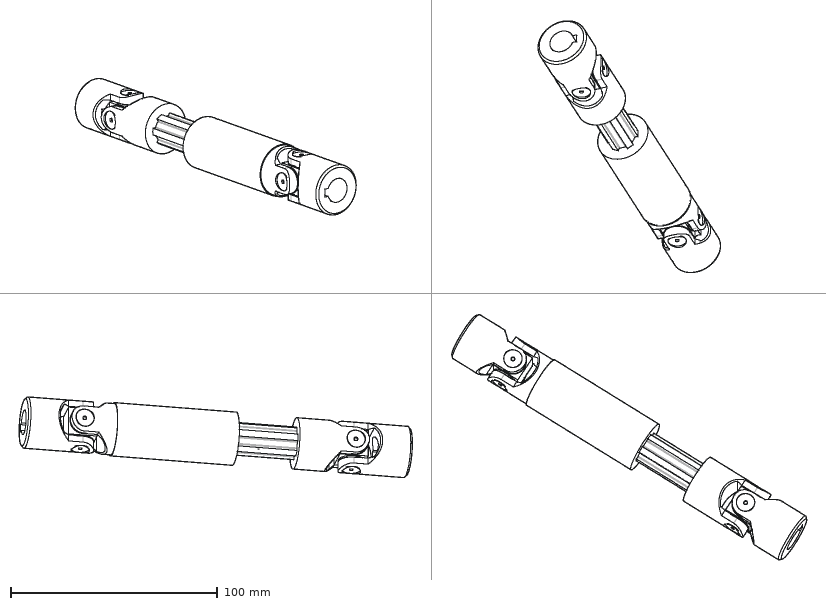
import cadquery as cq
import math

total_length = 190.0
left_end = -total_length / 2
right_end = total_length / 2
joint_to_end = 28.0
left_joint = left_end + joint_to_end
right_joint = right_end - joint_to_end
sleeve_start = -9.1
sleeve_end = 51.1

hub_diameter = 25.0
hub_radius = hub_diameter / 2
ear_width = 13.1
ear_half_width = ear_width / 2
ear_gap = 15.0
gap_end_radius = 12.2
shoulder_start = 7.0
pin_diameter = 9.0
end_chamfer = 1.05

bore_diameter = 12.0
keyway_width = 4.0
keyway_reach = 7.8

block_size = 14.0
block_thickness = 13.3
boss_diameter = 12.5
pin_end = 11.5
center_hole_diameter = 1.8
center_hole_depth = 1.0

sleeve_diameter = 26.0
spline_diameter = 16.0
spline_root_diameter = 13.0
spline_tooth_width = 3.5
spline_tooth_count = 6
spline_root_fillet = 0.4
spline_engagement = 38.0


def rod(diameter, start, end):
    """Round bar on the X axis between two X positions."""
    return cq.Workplane("YZ", origin=(start, 0, 0)).circle(diameter / 2).extrude(end - start)


def fork_envelope():
    """Outer limits of a fork seen along its pin: wide hub at -X, sloped shoulders, rounded ears at X = 0."""
    hub_back = -total_length
    shoulder_back = shoulder_start + hub_diameter - ear_half_width
    return (
        cq.Workplane("XY", origin=(0, 0, -hub_diameter))
        .moveTo(hub_back, hub_diameter)
        .lineTo(-shoulder_back, hub_diameter)
        .lineTo(-shoulder_start, ear_half_width)
        .lineTo(0, ear_half_width)
        .threePointArc((ear_half_width, 0), (0, -ear_half_width))
        .lineTo(-shoulder_start, -ear_half_width)
        .lineTo(-shoulder_back, -hub_diameter)
        .lineTo(hub_back, -hub_diameter)
        .close()
        .extrude(2 * hub_diameter)
    )


def ear_gap_cutter():
    """Gap between the ears: flat sides, with a round bottom about the joint centre."""
    round_bottom = (
        cq.Workplane("XZ", origin=(0, hub_diameter, 0)).circle(gap_end_radius).extrude(2 * hub_diameter)
    )
    flat_sides = cq.Workplane("XY").box(4 * hub_radius, 2 * hub_diameter, ear_gap)
    return round_bottom.intersect(flat_sides)


def fork():
    """Fork with its joint at the origin, hub towards -X and ears at +Z and -Z."""
    hub = rod(hub_diameter, -joint_to_end, hub_radius)
    pin_hole = cq.Workplane("XY", origin=(0, 0, -hub_radius)).circle(pin_diameter / 2).extrude(hub_diameter)
    return hub.intersect(fork_envelope()).cut(ear_gap_cutter()).cut(pin_hole)


def outer_yoke():
    """Fork with a chamfered hub end and a keyed bore that opens into the ear gap."""
    yoke = fork().faces("<X").edges().chamfer(end_chamfer)
    bore = rod(bore_diameter, -joint_to_end, 0)
    keyway = cq.Workplane("XY").box(joint_to_end, keyway_reach, keyway_width).translate(
        (-joint_to_end / 2, -keyway_reach / 2, 0)
    )
    return yoke.cut(bore).cut(keyway)


def splined_bar(start, end):
    """Bar with straight-sided teeth filleted at the root, one of them pointing towards -Y."""
    bar = rod(spline_root_diameter, start, end)
    for index in range(spline_tooth_count):
        tooth = (
            cq.Workplane("YZ", origin=(start, 0, 0))
            .center(-spline_diameter / 4, 0)
            .rect(spline_diameter / 2, spline_tooth_width)
            .extrude(end - start)
            .rotate((0, 0, 0), (1, 0, 0), index * 360 / spline_tooth_count)
        )
        bar = bar.union(tooth)
    root_limit = (spline_root_diameter + spline_diameter) / 4
    return (
        bar.intersect(rod(spline_diameter, start, end))
        .edges("|X")
        .filter(lambda edge: math.hypot(edge.Center().y, edge.Center().z) < root_limit)
        .fillet(spline_root_fillet)
    )


def inner_fork():
    """Fork turned a quarter so its ears are at +Y and -Y, pointing towards -X."""
    return fork().rotate((0, 0, 0), (0, 0, 1), 180).rotate((0, 0, 0), (1, 0, 0), 90)


def shaft_yoke():
    """Left inner fork with the splined shaft on its hub."""
    hub_end = left_joint + joint_to_end
    shaft = splined_bar(hub_end, sleeve_start + spline_engagement)
    return inner_fork().translate((left_joint, 0, 0)).union(shaft)


def sleeve_yoke():
    """Right inner fork carrying the sleeve with the blind splined socket."""
    sleeve = rod(sleeve_diameter, sleeve_start, sleeve_end)
    socket = splined_bar(sleeve_start, sleeve_start + spline_engagement)
    yoke = inner_fork().mirror("YZ").translate((right_joint, 0, 0))
    return yoke.union(sleeve).cut(socket)


def cross():
    """Block with four shouldered pins along Y and Z, each with a small centre hole in its end."""
    body = cq.Workplane("XY").box(block_size, block_size, block_thickness)
    for plane in ("XY", "XZ"):
        pin = cq.Workplane(plane).circle(pin_diameter / 2).extrude(pin_end, both=True)
        boss = cq.Workplane(plane).circle(boss_diameter / 2).extrude(ear_gap / 2, both=True)
        body = body.union(boss).union(pin)
        for side in (-1, 1):
            center_hole = (
                cq.Workplane(plane)
                .workplane(offset=side * pin_end)
                .circle(center_hole_diameter / 2)
                .extrude(-side * center_hole_depth)
            )
            body = body.cut(center_hole)
    return body


left_yoke = outer_yoke().translate((left_joint, 0, 0))
right_yoke = outer_yoke().mirror("YZ").translate((right_joint, 0, 0))
splined_shaft = shaft_yoke()
splined_sleeve = sleeve_yoke()

crosses = [
    cross().rotate((0, 0, 0), (1, 0, 0), turn).translate((joint, 0, 0))
    for joint, turn in ((left_joint, 0), (right_joint, 90))
]

result = cq.Compound.makeCompound(
    [
        left_yoke.val(),
        splined_shaft.val(),
        splined_sleeve.val(),
        right_yoke.val(),
        *[body.val() for body in crosses],
    ]
)